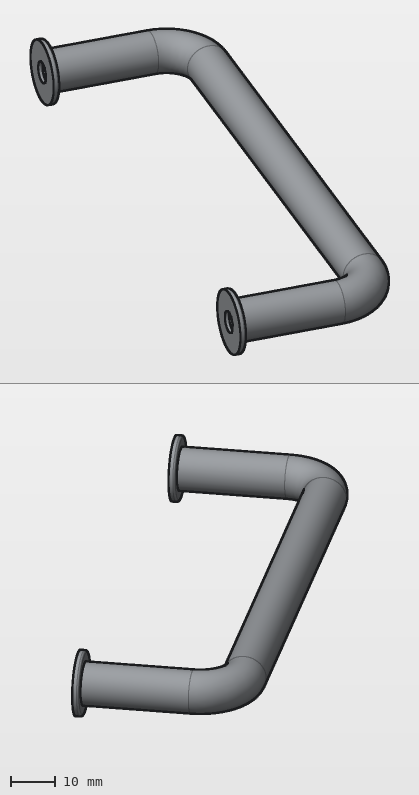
import cadquery as cq
import math

hole_spacing = 120.0
bar_diameter = 10.0
bend_radius = 10.0
overall_depth = 41.0

flange_diameter = 15.0
flange_thickness = 1.5
flange_rim_fillet = 0.5

clearance_diameter = 5.0
clearance_depth = 1.0
thread_core_diameter = 4.13
thread_end_depth = 11.5
drill_tip_angle = 118.0

leg_x = hole_spacing / 2
bar_axis_y = overall_depth - bar_diameter / 2
bend_start_y = bar_axis_y - bend_radius
straight_end_x = leg_x - bend_radius
bend_mid_offset = bend_radius * math.sin(math.radians(45))


def make_bar():
    """Round bar bent into a U, starting on the back faces of the flanges."""
    path = (
        cq.Workplane("XY")
        .moveTo(-leg_x, flange_thickness)
        .lineTo(-leg_x, bend_start_y)
        .threePointArc(
            (-straight_end_x - bend_mid_offset, bend_start_y + bend_mid_offset),
            (-straight_end_x, bar_axis_y),
        )
        .lineTo(straight_end_x, bar_axis_y)
        .threePointArc(
            (straight_end_x + bend_mid_offset, bend_start_y + bend_mid_offset),
            (leg_x, bend_start_y),
        )
        .lineTo(leg_x, flange_thickness)
    )
    foot = cq.Workplane("XZ", origin=(-leg_x, flange_thickness, 0))
    return foot.circle(bar_diameter / 2).sweep(path)


def revolve_about_leg(profile, x):
    """Turn a (radius, height) profile about a leg axis placed at x."""
    turned = cq.Workplane("XY").polyline(profile).close().revolve(360, (0, 0), (0, 1))
    return turned.translate((x, 0, 0))


def make_flange(x):
    """Disc with its bar-side rim rounded."""
    radius = flange_diameter / 2
    profile = [
        (0, 0),
        (radius, 0),
        (radius, flange_thickness),
        (0, flange_thickness),
    ]
    return revolve_about_leg(profile, x).faces(">Y").edges().fillet(flange_rim_fillet)


def make_hole(x):
    """Clearance hole narrowing at 45 degrees to a thread-core hole with a drill tip."""
    clearance_radius = clearance_diameter / 2
    core_radius = thread_core_diameter / 2
    countersink_end_y = clearance_depth + clearance_radius - core_radius
    tip_length = core_radius / math.tan(math.radians(drill_tip_angle / 2))
    profile = [
        (0, 0),
        (clearance_radius, 0),
        (clearance_radius, clearance_depth),
        (core_radius, countersink_end_y),
        (core_radius, thread_end_depth),
        (0, thread_end_depth + tip_length),
    ]
    return revolve_about_leg(profile, x)


handle = make_bar()
for side_x in (-leg_x, leg_x):
    handle = handle.union(make_flange(side_x)).cut(make_hole(side_x))

result = handle